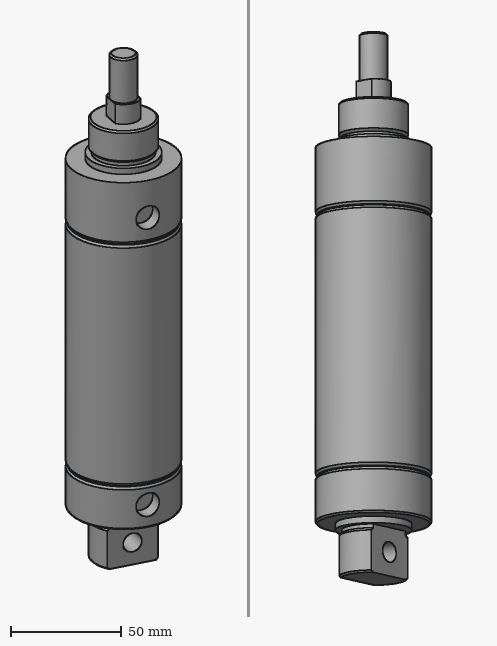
import cadquery as cq

total_height = 252.5
boss_bottom = 22.5
barrel_bottom = 25.5
barrel_top = 199.7
boss_top = 202.7
nose_top = 220.5
rod_shoulder = 230.3

barrel_diameter = 52.8
barrel_radius = barrel_diameter / 2
groove_depth = 0.8
groove_width = 3.0
groove_floor = 0.5
lower_groove_height = 47.2
upper_groove_height = 168.5
barrel_chamfer = 0.88

boss_radius = 17.5
nose_radius = 16.0
neck_radius = 14.6
neck_length = 1.8
neck_chamfer = nose_radius - neck_radius
nose_chamfer = 0.88
tang_thickness = 19.2
pivot_diameter = 9.3
pivot_height = 11.0

port_diameter = 11.5
port_depth = 7.5
port_heights = (37.0, 181.0)

rod_diameter = 16.0
rod_radius = rod_diameter / 2
stud_diameter = 13.0
stud_radius = stud_diameter / 2
stud_chamfer = 0.88
flat_distance = stud_diameter


def cylinder(radius, bottom, top):
    return cq.Workplane("XY").workplane(offset=bottom).circle(radius).extrude(top - bottom)


def necked_cylinder(bottom, top):
    """Threaded cylinder with a chamfered lower end and a narrow neck at its top."""
    thread_top = top - neck_length - neck_chamfer
    profile = [
        (0, bottom),
        (nose_radius - nose_chamfer, bottom),
        (nose_radius, bottom + nose_chamfer),
        (nose_radius, thread_top),
        (neck_radius, thread_top + neck_chamfer),
        (neck_radius, top),
        (0, top),
    ]
    return cq.Workplane("XZ").polyline(profile).close().revolve(360, (0, 0), (0, 1))


def crimp_groove(height):
    """Ring with a trapezoidal section, narrowing towards the axis."""
    floor_radius = barrel_radius - groove_depth
    profile = [
        (barrel_radius, height - groove_width / 2),
        (floor_radius, height - groove_floor / 2),
        (floor_radius, height + groove_floor / 2),
        (barrel_radius, height + groove_width / 2),
    ]
    return cq.Workplane("XZ").polyline(profile).close().revolve(360, (0, 0), (0, 1))


def make_barrel():
    barrel = cylinder(barrel_radius, barrel_bottom, barrel_top)
    barrel = barrel.faces("<Z").chamfer(barrel_chamfer)
    for height in (lower_groove_height, upper_groove_height):
        barrel = barrel.cut(crimp_groove(height))
    for height in port_heights:
        port = (
            cq.Workplane("YZ")
            .workplane(offset=barrel_radius - port_depth)
            .center(0, height)
            .circle(port_diameter / 2)
            .extrude(port_depth)
        )
        barrel = barrel.cut(port)
    return barrel


def make_nose():
    nose_length = nose_top - boss_top
    nose = necked_cylinder(-nose_length, 0)
    return nose.rotate((0, 0, 0), (1, 0, 0), 180).translate((0, 0, boss_top))


def make_tang():
    slab = cq.Workplane("XY").box(
        tang_thickness, 2 * nose_radius, boss_bottom, centered=(True, True, False)
    )
    pivot_hole = (
        cq.Workplane("YZ")
        .center(0, pivot_height)
        .circle(pivot_diameter / 2)
        .extrude(tang_thickness, both=True)
    )
    return necked_cylinder(0, boss_bottom).intersect(slab).cut(pivot_hole)


def make_housing():
    housing = make_barrel()
    housing = housing.union(cylinder(boss_radius, boss_bottom, barrel_bottom))
    housing = housing.union(cylinder(boss_radius, barrel_top, boss_top))
    return housing.union(make_nose()).union(make_tang())


def make_rod():
    """Rod end standing on the nose, with two wrench flats facing +Y and -Y below its stud."""
    collar = cylinder(rod_radius, nose_top, rod_shoulder)
    cut_depth = rod_radius - flat_distance / 2
    for side in (-1, 1):
        flat = (
            cq.Workplane("XY")
            .box(2 * rod_radius, cut_depth, rod_shoulder - nose_top, centered=(True, True, False))
            .translate((0, side * (flat_distance + cut_depth) / 2, nose_top))
        )
        collar = collar.cut(flat)
    stud = cylinder(stud_radius, rod_shoulder, total_height).faces(">Z").chamfer(stud_chamfer)
    return collar.union(stud)


housing = make_housing()
rod = make_rod()
result = cq.Compound.makeCompound([housing.val(), rod.val()])